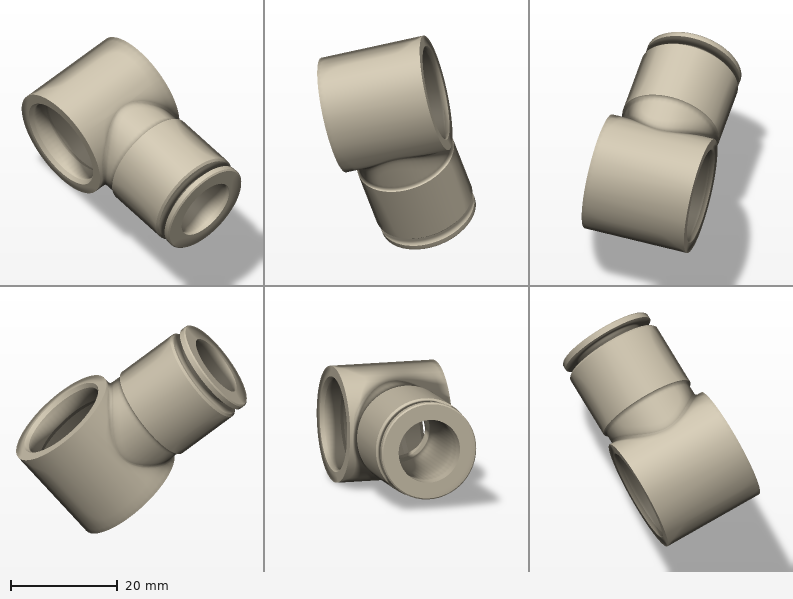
import cadquery as cq

SLEEVE_RADIUS = 11.0
SLEEVE_LENGTH = 20.0
SEAL_LAND_RADIUS = 8.5
MOUTH_RADIUS = 9.0
MOUTH_DEPTH = 0.75
LAND_END_DEPTH = 3.9
CHAMBER_RADIUS = 9.0
SHOULDER_DEPTH = 0.75

STEM_RADIUS = 9.0
STEM_END = 13.2
BODY_RADIUS = 9.5
BODY_START = 13.8
BODY_END = 26.5
BODY_FILLET = 0.6
BODY_CHAMFER = 0.4
END_FACE_RADIUS = 8.4
NECK_RADIUS = 6.75
NECK_START = 26.75
FLANGE_RADIUS = 9.25
FLANGE_START = 28.2
FLANGE_CHAMFER = 0.25
NECK_FILLET = 0.2
BRANCH_END = 29.4
JUNCTION_FILLET = 0.5

PASSAGE_RADIUS = 5.2
SOCKET_RADIUS = 6.0
SOCKET_FLOOR = 9.5


def cylinder_x(radius, start, end):
    """Cylinder on the X axis between two stations."""
    return cq.Workplane("YZ").workplane(offset=start).circle(radius).extrude(end - start)


def make_sleeve():
    """Solid outer cylinder of the sleeve, along Y."""
    return cq.Workplane("XZ").circle(SLEEVE_RADIUS).extrude(SLEEVE_LENGTH / 2, both=True)


def make_sleeve_with_stem():
    """Sleeve with the branch stem joined to it by a small fillet."""
    joined = make_sleeve().union(cylinder_x(STEM_RADIUS, 0, STEM_END))
    reach = STEM_RADIUS + JUNCTION_FILLET
    junction = cq.selectors.BoxSelector((0, -reach, -reach), (STEM_END - JUNCTION_FILLET, reach, reach), True)
    return joined.edges(junction).fillet(JUNCTION_FILLET)


def make_branch_head():
    """Body, neck and release flange, revolved about X."""
    return (
        cq.Workplane("XY")
        .moveTo(STEM_END, 0)
        .lineTo(STEM_END, STEM_RADIUS)
        .radiusArc((BODY_START, BODY_RADIUS), -BODY_FILLET)
        .lineTo(BODY_END - BODY_CHAMFER, BODY_RADIUS)
        .lineTo(BODY_END, BODY_RADIUS - BODY_CHAMFER)
        .lineTo(BODY_END, END_FACE_RADIUS)
        .lineTo(NECK_START, NECK_RADIUS)
        .lineTo(FLANGE_START - NECK_FILLET, NECK_RADIUS)
        .radiusArc((FLANGE_START, NECK_RADIUS + NECK_FILLET), -NECK_FILLET)
        .lineTo(FLANGE_START, FLANGE_RADIUS)
        .lineTo(BRANCH_END - FLANGE_CHAMFER, FLANGE_RADIUS)
        .lineTo(BRANCH_END, FLANGE_RADIUS - FLANGE_CHAMFER)
        .lineTo(BRANCH_END, 0)
        .close()
        .revolve(360, (0, 0, 0), (1, 0, 0))
    )


def make_sleeve_bore():
    """Through bore along Y: flared mouths, sealing lands and a wider chamber with tapered shoulders."""
    half = SLEEVE_LENGTH / 2
    land_outer = half - MOUTH_DEPTH
    land_inner = half - LAND_END_DEPTH
    chamber_half = land_inner - SHOULDER_DEPTH
    profile = [
        (0, -half),
        (MOUTH_RADIUS, -half),
        (SEAL_LAND_RADIUS, -land_outer),
        (SEAL_LAND_RADIUS, -land_inner),
        (CHAMBER_RADIUS, -chamber_half),
        (CHAMBER_RADIUS, chamber_half),
        (SEAL_LAND_RADIUS, land_inner),
        (SEAL_LAND_RADIUS, land_outer),
        (MOUTH_RADIUS, half),
        (0, half),
    ]
    return cq.Workplane("XY").polyline(profile).close().revolve(360, (0, 0, 0), (0, 1, 0))


passage = cylinder_x(PASSAGE_RADIUS, 0, SOCKET_FLOOR)
tube_socket = cylinder_x(SOCKET_RADIUS, SOCKET_FLOOR, BRANCH_END)

result = make_sleeve_with_stem().union(make_branch_head())
result = result.cut(make_sleeve_bore()).cut(passage).cut(tube_socket)